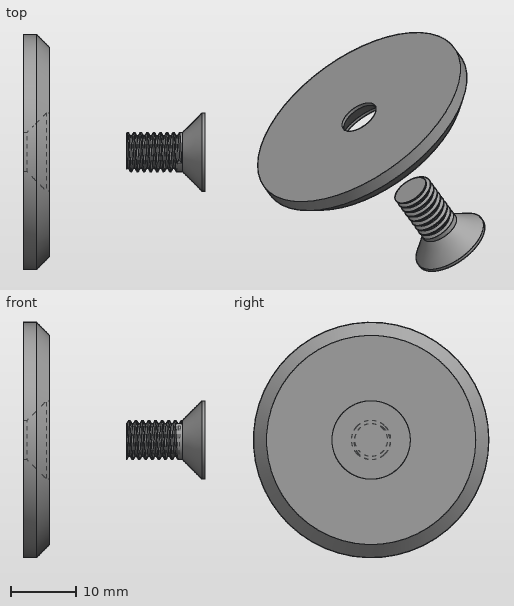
import cadquery as cq
import math

DISC_DIAMETER = 36.0
DISC_THICKNESS = 4.0
DISC_CHAMFER = 2.0

SCREW_TIP_X = 15.75
SCREW_LENGTH = 12.0
HEAD_DIAMETER = 12.0
HEAD_RIM = 0.45
THREAD_DIAMETER = 6.0
HEAD_CONE = (HEAD_DIAMETER - THREAD_DIAMETER) / 2
SHANK_LENGTH = SCREW_LENGTH - HEAD_RIM - HEAD_CONE

THREAD_PITCH = THREAD_DIAMETER / 6
THREAD_DEPTH = 0.5
CREST_WIDTH = 0.18
GROOVE_TURNS = 9
GROOVE_END_DISTANCE = 8.03
GROOVE_END_ANGLE = 213.0
GROOVE_OVERCUT = 0.05


def turned_about_x(outline):
    """Revolve a list of (x, radius) points about the X axis."""
    return cq.Workplane("XY").polyline(outline).close().revolve(360, (0, 0, 0), (1, 0, 0))


def make_disc():
    """Chamfered disc with a through hole and a seat that fits the screw head flush."""
    radius = DISC_DIAMETER / 2
    hole_radius = THREAD_DIAMETER / 2
    seat_radius = HEAD_DIAMETER / 2
    seat_end_x = DISC_THICKNESS - HEAD_RIM
    return turned_about_x([
        (0, hole_radius),
        (0, radius),
        (DISC_THICKNESS - DISC_CHAMFER, radius),
        (DISC_THICKNESS, radius - DISC_CHAMFER),
        (DISC_THICKNESS, seat_radius),
        (seat_end_x, seat_radius),
        (seat_end_x - HEAD_CONE, hole_radius),
    ])


def make_thread_groove():
    """Right-handed helical cutter around Z that runs in below the tip at Z = 0."""
    root_radius = THREAD_DIAMETER / 2 - THREAD_DEPTH
    outer_radius = THREAD_DIAMETER / 2 + GROOVE_OVERCUT
    flank_slope = math.tan(math.radians(30))
    mouth_half = (THREAD_PITCH - CREST_WIDTH) / 2
    root_half = mouth_half - THREAD_DEPTH * flank_slope
    outer_half = mouth_half + GROOVE_OVERCUT * flank_slope
    helix_height = GROOVE_TURNS * THREAD_PITCH
    helix = cq.Wire.makeHelix(THREAD_PITCH, helix_height, root_radius)
    groove = (
        cq.Workplane("XZ")
        .polyline([
            (root_radius, -root_half),
            (outer_radius, -outer_half),
            (outer_radius, outer_half),
            (root_radius, root_half),
        ])
        .close()
        .sweep(cq.Workplane(helix), isFrenet=True)
    )
    return (
        groove.rotate((0, 0, 0), (0, 0, 1), GROOVE_END_ANGLE)
        .translate((0, 0, GROOVE_END_DISTANCE - helix_height))
    )


def make_screw():
    """Threaded shank with a flat countersunk head at its far end."""
    shank_radius = THREAD_DIAMETER / 2
    head_radius = HEAD_DIAMETER / 2
    blank = (
        cq.Workplane("XZ")
        .polyline([
            (0, 0),
            (shank_radius, 0),
            (shank_radius, SHANK_LENGTH),
            (head_radius, SHANK_LENGTH + HEAD_CONE),
            (head_radius, SCREW_LENGTH),
            (0, SCREW_LENGTH),
        ])
        .close()
        .revolve(360, (0, 0, 0), (0, 1, 0))
    )
    threaded = blank.cut(make_thread_groove())
    return threaded.rotate((0, 0, 0), (0, 1, 0), 90).translate((SCREW_TIP_X, 0, 0))


disc = make_disc()
screw = make_screw()
result = cq.Compound.makeCompound([disc.val(), *screw.vals()])